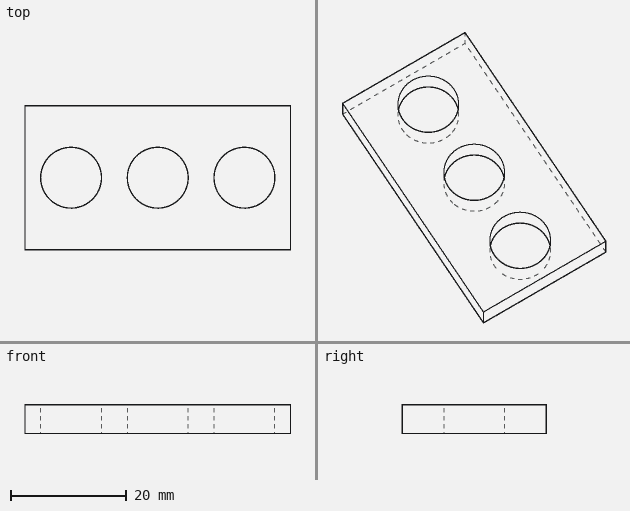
import cadquery as cq

length = 46.0
width = 25.0
thickness = 5.0

hole_diameter = 10.5
hole_pitch = 15.0
hole_count = 3

plate = cq.Workplane("XY").box(length, width, thickness)

result = (
    plate.faces(">Z")
    .workplane()
    .rarray(hole_pitch, 0.45, hole_count, 1)
    .hole(hole_diameter)
)